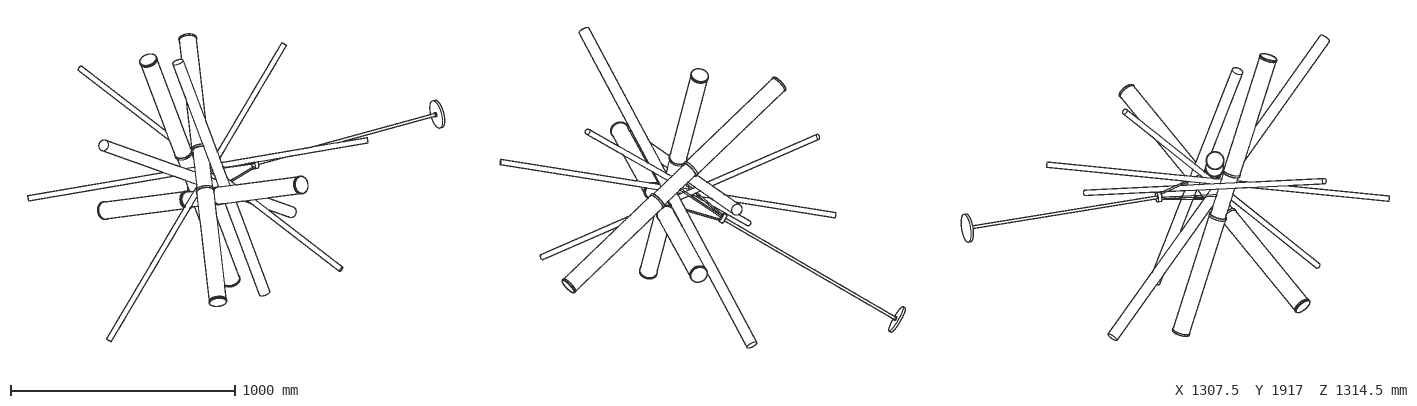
import cadquery as cq


LAMP_COUNT = 3
LAMP_OFFSET = 85.0
LAMP_TILT = 18.0
LAMP_HALF_LENGTH = 679.0
SLEEVE_RADIUS = 35.0
SLEEVE_HALF_LENGTH = 102.0
TUBE_RADIUS = 38.0
CAP_RADIUS = 40.0
CAP_THICKNESS = 10.0
CAP_CHAMFER = 2.9

MEDIUM_RADIUS = 25.0
LONG_MEDIUM_ENDS = ((275.0, -615.0, 512.0), (-285.0, 611.0, -510.0))
SHORT_MEDIUM_ENDS = ((-75.0, -65.0, 596.0), (232.0, 213.0, -530.0))
THIN_RADIUS = 12.5
FIXED_THIN_ENDS = ((-278.0, -711.0, -52.0), (235.0, 726.0, 130.0))
LOOSE_THIN_ENDS = (
    ((-669.0, -253.0, 284.0), (625.0, 395.0, -235.0)),
    ((-117.0, 489.0, 508.0), (209.0, -555.0, -571.0)),
)

OVERALL_LENGTH = 1917.0
CANOPY_RADIUS = 63.0
CANOPY_THICKNESS = 12.0
CANOPY_SIDES = 36
BOSS_RADIUS = 10.0
BOSS_HEIGHT = 5.0
STEM_RADIUS = 6.7
HUB_RADIUS = 21.0
HUB_THICKNESS = 17.0
HUB_BOTTOM = 275.0
WIRE_RADIUS = 4.0
WIRE_START_OFFSET = 13.0

ORIGIN = (0, 0, 0)
ALONG_X = (1, 0, 0)
ALONG_Y = (0, 1, 0)


def rod(start, end, radius):
    """A round rod between two points."""
    start_point = cq.Vector(*start)
    axis = cq.Vector(*end) - start_point
    return cq.Workplane(cq.Solid.makeCylinder(radius, axis.Length, start_point, axis))


def disc(radius, bottom, height):
    """A round disc on the stem axis, rising from `bottom` toward +Y."""
    return rod((0, bottom, 0), (0, bottom + height, 0), radius)


fixed_thin_tube = rod(*FIXED_THIN_ENDS, THIN_RADIUS)
CANOPY_TOP = OVERALL_LENGTH + fixed_thin_tube.val().BoundingBox().ymin


def canopy():
    """The many-sided ceiling plate with a small boss where the stem enters."""
    plate = (
        cq.Workplane("XZ", origin=(0, CANOPY_TOP, 0))
        .polygon(CANOPY_SIDES, 2 * CANOPY_RADIUS)
        .extrude(CANOPY_THICKNESS)
    )
    boss_bottom = CANOPY_TOP - CANOPY_THICKNESS - BOSS_HEIGHT
    return plate.union(disc(BOSS_RADIUS, boss_bottom, BOSS_HEIGHT))


def hanger():
    """Canopy, stem and the hub at the foot of the stem."""
    stem = disc(STEM_RADIUS, HUB_BOTTOM, CANOPY_TOP - CANOPY_THICKNESS - HUB_BOTTOM)
    hub = disc(HUB_RADIUS, HUB_BOTTOM, HUB_THICKNESS)
    return canopy().union(stem).union(hub)


def lamp(turn):
    """Two capped tubes on one sleeve, turned about the stem axis to its place."""
    inner_cap_end = SLEEVE_HALF_LENGTH + CAP_THICKNESS
    outer_cap_start = LAMP_HALF_LENGTH - CAP_THICKNESS
    upper_profile = [
        (SLEEVE_RADIUS, SLEEVE_HALF_LENGTH),
        (CAP_RADIUS, SLEEVE_HALF_LENGTH),
        (CAP_RADIUS, inner_cap_end),
        (TUBE_RADIUS, inner_cap_end),
        (TUBE_RADIUS, outer_cap_start),
        (CAP_RADIUS, outer_cap_start),
        (CAP_RADIUS, LAMP_HALF_LENGTH - CAP_CHAMFER),
        (CAP_RADIUS - CAP_CHAMFER, LAMP_HALF_LENGTH),
        (0, LAMP_HALF_LENGTH),
    ]
    lower_profile = [(radius, -height) for radius, height in reversed(upper_profile)]
    along_y = (
        cq.Workplane("XY")
        .polyline(lower_profile + upper_profile)
        .close()
        .revolve(360, ORIGIN, ALONG_Y)
    )
    tilted = along_y.rotate(ORIGIN, ALONG_X, LAMP_TILT - 90)
    return tilted.translate((-LAMP_OFFSET, 0, 0)).rotate(ORIGIN, ALONG_Y, turn)


def wire(turn):
    """A straight wire from the hub to the middle of the lamp at the same turn."""
    start = (-WIRE_START_OFFSET, HUB_BOTTOM, 0)
    end = (-LAMP_OFFSET, 0, 0)
    return rod(start, end, WIRE_RADIUS).rotate(ORIGIN, ALONG_Y, turn)


def frame_body():
    """Hanger, wires, double lamps and the thin tube that one of the wires runs into."""
    body = hanger()
    for index in range(LAMP_COUNT):
        turn = 360 / LAMP_COUNT * index
        body = body.union(lamp(turn)).union(wire(turn))
    return body.union(fixed_thin_tube).solids()


frame = frame_body()
long_medium_tube = rod(*LONG_MEDIUM_ENDS, MEDIUM_RADIUS)
short_medium_tube = rod(*SHORT_MEDIUM_ENDS, MEDIUM_RADIUS)
thin_tubes = [rod(*ends, THIN_RADIUS).val() for ends in LOOSE_THIN_ENDS]

result = cq.Compound.makeCompound(
    [frame.val(), long_medium_tube.val(), short_medium_tube.val(), *thin_tubes]
)